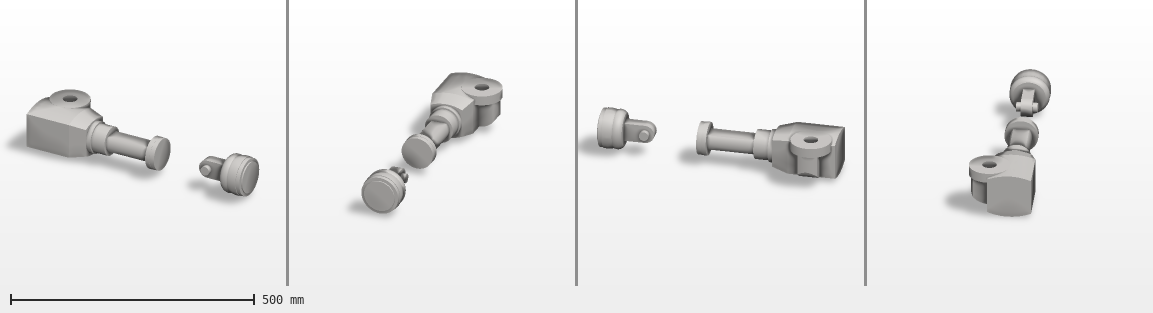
import cadquery as cq
AXIS_ANGLE = 35.0

BLOCK_START = -50.5
BLOCK_END = 49.5
BLOCK_WIDTH = 90.0
BLOCK_SIDE_HEIGHT = 75.0
BLOCK_CROWN_HEIGHT = 92.5
TAPER_END = 84.0
TAPER_WIDTH = 70.3
TAPER_SIDE_HEIGHT = 61.0
TAPER_CROWN_HEIGHT = 76.0

PIVOT_Y = BLOCK_WIDTH / 2
DISC_DIAMETER = 85.0
DISC_TOP = 46.0
DISC_THICKNESS = 20.5
DISC_HOLE_DIAMETER = 30.0
DISC_HOLE_DEPTH = 15.3
LUG_DIAMETER = 76.0
LUG_WIDTH = 40.5
LUG_BOTTOM = -34.0
LUG_UNDERSIDE_RADIUS = 42.5

SHOULDER_DIAMETER = 69.0
SHOULDER_END = 94.5
COLLAR_DIAMETER = 62.0
COLLAR_END = 125.5
SHAFT_DIAMETER = 46.5
SHAFT_FLAT_HEIGHT = 32.5
FLANGE_START = 224.5
FLANGE_DIAMETER = 70.0
FLANGE_STEP = 235.0
FLANGE_RIM_DIAMETER = 69.0
FLANGE_END = 245.0

TONGUE_EYE = 358.5
TONGUE_HEIGHT = 39.5
TONGUE_THICKNESS = 24.0
PIN_DIAMETER = 20.0
PIN_LENGTH = 44.5

KNOB_START = 402.0
KNOB_FACE_RADIUS = 34.5
NOSE_CREST = 412.5
NOSE_CREST_RADIUS = 41.5
WAIST = 421.5
WAIST_RADIUS = 40.0
BELLY_CREST = 434.5
BELLY_CREST_RADIUS = 42.5
BELLY_END = 443.0
BELLY_END_RADIUS = 42.0
RIM_RADIUS = 40.5
RIM_END = 451.5
CAP_RADIUS = 67.0 / 2
CAP_END = 454.5


def axial_disc(diameter, start, end):
    """Round section of the long axis between two positions."""
    return cq.Workplane("YZ").workplane(offset=start).circle(diameter / 2).extrude(end - start)


def crowned_section(workplane, width, side_height, crown_height):
    """Rectangle whose top and bottom edges bulge as arcs."""
    half_width = width / 2
    half_side = side_height / 2
    half_crown = crown_height / 2
    return (
        workplane.moveTo(-half_width, -half_side)
        .threePointArc((0, -half_crown), (half_width, -half_side))
        .lineTo(half_width, half_side)
        .threePointArc((0, half_crown), (-half_width, half_side))
        .close()
    )


def make_block():
    """Crowned block with a taper that narrows towards the shaft."""
    block_plane = cq.Workplane("YZ").workplane(offset=BLOCK_START)
    block = crowned_section(
        block_plane, BLOCK_WIDTH, BLOCK_SIDE_HEIGHT, BLOCK_CROWN_HEIGHT
    ).extrude(BLOCK_END - BLOCK_START)

    taper_plane = cq.Workplane("YZ").workplane(offset=BLOCK_END)
    wide_end = crowned_section(taper_plane, BLOCK_WIDTH, BLOCK_SIDE_HEIGHT, BLOCK_CROWN_HEIGHT)
    narrow_plane = wide_end.workplane(offset=TAPER_END - BLOCK_END)
    taper = crowned_section(
        narrow_plane, TAPER_WIDTH, TAPER_SIDE_HEIGHT, TAPER_CROWN_HEIGHT
    ).loft(ruled=True)
    return block.union(taper)


def make_lug():
    """Flat-sided round lug whose underside is a cylinder along the long axis."""
    lug_height = DISC_TOP - DISC_THICKNESS - LUG_BOTTOM
    lug = (
        cq.Workplane("XY", origin=(0, PIVOT_Y, LUG_BOTTOM))
        .circle(LUG_DIAMETER / 2)
        .extrude(lug_height)
    )
    underside_z = LUG_BOTTOM + LUG_UNDERSIDE_RADIUS
    envelope = (
        cq.Workplane("YZ", origin=(0, PIVOT_Y, 0))
        .moveTo(-LUG_UNDERSIDE_RADIUS, underside_z)
        .threePointArc((0, LUG_BOTTOM), (LUG_UNDERSIDE_RADIUS, underside_z))
        .lineTo(LUG_UNDERSIDE_RADIUS, DISC_TOP)
        .lineTo(-LUG_UNDERSIDE_RADIUS, DISC_TOP)
        .close()
        .extrude(LUG_WIDTH / 2, both=True)
    )
    return lug.intersect(envelope)


def make_pivot_disc():
    """Flat disc over the lug."""
    return (
        cq.Workplane("XY", origin=(0, PIVOT_Y, DISC_TOP))
        .circle(DISC_DIAMETER / 2)
        .extrude(-DISC_THICKNESS)
    )


def make_disc_hole():
    """Blind hole in the top of the pivot disc."""
    return (
        cq.Workplane("XY", origin=(0, PIVOT_Y, DISC_TOP))
        .circle(DISC_HOLE_DIAMETER / 2)
        .extrude(-DISC_HOLE_DEPTH)
    )


def make_shaft():
    """Round shaft with a flat above and below."""
    shaft_length = FLANGE_START - COLLAR_END
    flats = cq.Workplane("XY").box(shaft_length, SHAFT_DIAMETER, SHAFT_FLAT_HEIGHT)
    flats = flats.translate((COLLAR_END + shaft_length / 2, 0, 0))
    return axial_disc(SHAFT_DIAMETER, COLLAR_END, FLANGE_START).intersect(flats)


def make_arm():
    """Block, pivot, collar, shaft and flange as one body."""
    arm = make_block().union(make_lug()).union(make_pivot_disc()).cut(make_disc_hole())
    arm = arm.union(axial_disc(SHOULDER_DIAMETER, TAPER_END, SHOULDER_END))
    arm = arm.union(axial_disc(COLLAR_DIAMETER, SHOULDER_END, COLLAR_END))
    arm = arm.union(make_shaft())
    arm = arm.union(axial_disc(FLANGE_DIAMETER, FLANGE_START, FLANGE_STEP))
    return arm.union(axial_disc(FLANGE_RIM_DIAMETER, FLANGE_STEP, FLANGE_END))


def make_tongue():
    """Round-ended tongue with a cross pin through its eye."""
    half_height = TONGUE_HEIGHT / 2
    tongue = (
        cq.Workplane("XZ")
        .moveTo(KNOB_START, -half_height)
        .lineTo(TONGUE_EYE, -half_height)
        .threePointArc((TONGUE_EYE - half_height, 0), (TONGUE_EYE, half_height))
        .lineTo(KNOB_START, half_height)
        .close()
        .extrude(TONGUE_THICKNESS / 2, both=True)
    )
    pin = (
        cq.Workplane("XZ", origin=(TONGUE_EYE, 0, 0))
        .circle(PIN_DIAMETER / 2)
        .extrude(PIN_LENGTH / 2, both=True)
    )
    return tongue.union(pin)


def make_knob():
    """Turned knob with a rounded nose, a bulging belly and a stepped rim."""
    return (
        cq.Workplane("XY")
        .moveTo(KNOB_START, 0)
        .lineTo(KNOB_START, KNOB_FACE_RADIUS)
        .threePointArc((NOSE_CREST, NOSE_CREST_RADIUS), (WAIST, WAIST_RADIUS))
        .threePointArc((BELLY_CREST, BELLY_CREST_RADIUS), (BELLY_END, BELLY_END_RADIUS))
        .lineTo(BELLY_END, RIM_RADIUS)
        .lineTo(RIM_END, RIM_RADIUS)
        .lineTo(RIM_END, CAP_RADIUS)
        .lineTo(CAP_END, CAP_RADIUS)
        .lineTo(CAP_END, 0)
        .close()
        .revolve(360, (0, 0, 0), (1, 0, 0))
    )


def make_head():
    """Knob and tongue as one body."""
    return make_knob().union(make_tongue())


def turn_to_axis(body):
    """Turn a body from local X to the part's long axis."""
    return body.rotate((0, 0, 0), (0, 0, 1), AXIS_ANGLE)


arm = turn_to_axis(make_arm())
head = turn_to_axis(make_head())

result = cq.Compound.makeCompound([arm.val(), head.val()])